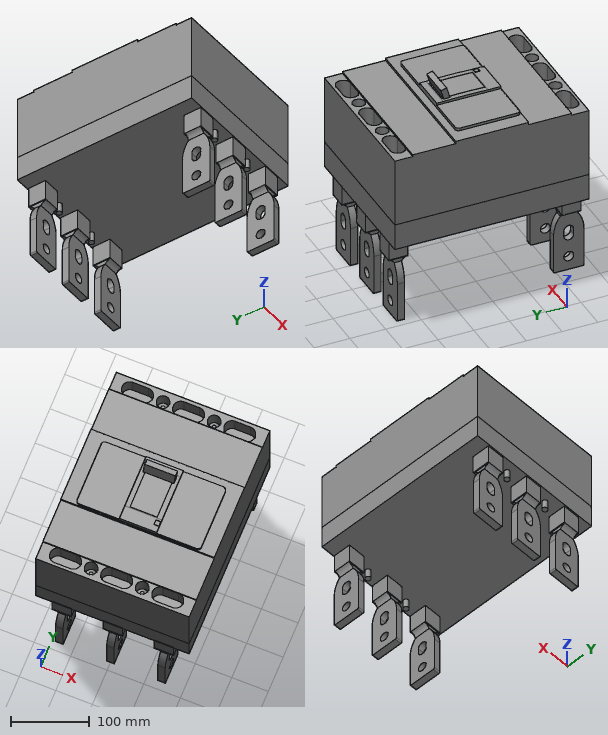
import cadquery as cq
import math


CASE_WIDTH = 210.0
CASE_FRONT = -135.5
CASE_BACK = 136.3
BASE_BOTTOM = 121.2
COVER_BOTTOM = 158.5
SHOULDER_TOP = 255.8
DECK_TOP = 258.5
DECK_HALF = 111.2
STAGE_TOP = 261.8
STAGE_HALF = 51.0

POLE_PITCH = 70.0
POLE_X = [-POLE_PITCH, 0, POLE_PITCH]
ROW_Y = 121.2
SCREW_POINTS = [(x, y) for x in (-POLE_PITCH / 2, POLE_PITCH / 2) for y in (-ROW_Y, ROW_Y)]

POCKET_LENGTH = 42.0
POCKET_WIDTH = 20.5
POCKET_DEPTH = 28.5
SCREW_HEAD_R = 8.5
SCREW_TIP_R = 2.5
SHANK_R = 4.0
SHANK_BOTTOM = 107.0
SCREW_SEAT = SHOULDER_TOP - POCKET_DEPTH

PANEL_WIDTH = 170.0
PANEL_FRONT = -49.5
PANEL_BACK = 40.5
PANEL_TOP = 265.8
PANEL_CORNER_R = 4.8
STRIP_WIDTH = 51.0
STRIP_TOP = 269.0

GUARD_HALF = 31.5
GUARD_RISE = 0.5
SLIDE_WIDTH = 37.0
SLIDE_HALF = 30.2
SLIDE_LIFT = 0.3

RECESS_SIDE = 6.5
RECESS_X = 21.7
RECESS_Y = -37.5
RECESS_DEPTH = 0.9

LEVER_WIDTH = 42.2
LEVER_THICKNESS = 8.3
LEVER_TOP = 285.2
LEVER_TOP_Y = 24.5
LEVER_LEAN = math.radians(17)

BLOCK_SIDE = 26.5
BLOCK_BOTTOM = 90.5
NECK_BOTTOM = 84.5
NECK_WIDTH = 24.0
NECK_BEND = 0.6
BLADE_WIDTH = 42.5
BLADE_THICKNESS = 10.3
BLADE_SHOULDER = 57.3
BLADE_CORNER = 2.0
BLADE_HOLE_D = 13.7
HOLE_Z = 20.0
SLOT_Z = 56.0
SLOT_LENGTH = 21.7


def box(width, front, back, bottom, top):
    """Box centred on X = 0."""
    block = cq.Workplane("XY").box(width, back - front, top - bottom, centered=(True, False, False))
    return block.translate((0, front, bottom))


def mirrored_bar(half_outline, width):
    """Bar along X whose YZ section is the closed half outline mirrored about Z."""
    half = half_outline.lineTo(0, BASE_BOTTOM).lineTo(0, 0).close().extrude(width / 2, both=True)
    return half.union(half.mirror("XZ"))


def terminal():
    """One terminal on the Z axis, its blade in the YZ plane: two crossed outlines intersected."""
    block_half = BLOCK_SIDE / 2

    broad_side = mirrored_bar(
        cq.Workplane("YZ")
        .lineTo(BLADE_WIDTH / 2, 0)
        .lineTo(BLADE_WIDTH / 2, BLADE_SHOULDER)
        .tangentArcPoint((NECK_WIDTH / 2, NECK_BOTTOM), relative=False)
        .lineTo(NECK_WIDTH / 2, BLOCK_BOTTOM)
        .lineTo(block_half, BLOCK_BOTTOM)
        .lineTo(block_half, BASE_BOTTOM),
        BLOCK_SIDE,
    )
    broad_side = broad_side.edges("|X and <Z").fillet(BLADE_CORNER)

    blade_half = BLADE_THICKNESS / 2
    waist_bend = (
        block_half - NECK_BEND * (block_half - blade_half),
        BLOCK_BOTTOM - (1 - NECK_BEND) * (BLOCK_BOTTOM - NECK_BOTTOM),
    )
    thin_side = mirrored_bar(
        cq.Workplane("YZ")
        .lineTo(blade_half, 0)
        .lineTo(blade_half, NECK_BOTTOM)
        .threePointArc(waist_bend, (block_half, BLOCK_BOTTOM))
        .lineTo(block_half, BASE_BOTTOM),
        BLADE_WIDTH,
    ).rotate((0, 0, 0), (0, 0, 1), 90)

    holes = (
        cq.Workplane("YZ")
        .center(0, HOLE_Z)
        .circle(BLADE_HOLE_D / 2)
        .center(0, SLOT_Z - HOLE_Z)
        .slot2D(SLOT_LENGTH, BLADE_HOLE_D, 90)
        .extrude(BLADE_THICKNESS, both=True)
    )
    return broad_side.intersect(thin_side).cut(holes)


def make_base():
    """Lower case half with the six terminals; the rear blades are turned across."""
    base = box(CASE_WIDTH, CASE_FRONT, CASE_BACK, BASE_BOTTOM, COVER_BOTTOM)
    front_terminal = terminal()
    rear_terminal = front_terminal.rotate((0, 0, 0), (0, 0, 1), 90)
    for x in POLE_X:
        base = base.union(front_terminal.translate((x, -ROW_Y, 0)))
        base = base.union(rear_terminal.translate((x, ROW_Y, 0)))
    screw_holes = (
        cq.Workplane("XY", origin=(0, 0, BASE_BOTTOM))
        .pushPoints(SCREW_POINTS)
        .circle(SHANK_R)
        .extrude(COVER_BOTTOM - BASE_BOTTOM)
    )
    return base.cut(screw_holes)


def crowned_pad(width, half_length, lift):
    """Pad on the strip, its crowned top concentric with the guard and lifted above it."""
    radius = (GUARD_HALF**2 + GUARD_RISE**2) / (2 * GUARD_RISE) + lift
    centre_z = STRIP_TOP + GUARD_RISE + lift - radius
    end_z = centre_z + math.sqrt(radius**2 - half_length**2)
    return (
        cq.Workplane("YZ")
        .moveTo(-half_length, PANEL_TOP)
        .lineTo(-half_length, end_z)
        .threePointArc((0, centre_z + radius), (half_length, end_z))
        .lineTo(half_length, PANEL_TOP)
        .close()
        .extrude(width / 2, both=True)
    )


def lever():
    """Leaning toggle lever, rooted in the strip."""
    lean_slope = math.tan(LEVER_LEAN)
    rear_y = LEVER_TOP_Y + LEVER_THICKNESS * math.cos(LEVER_LEAN)
    rear_z = LEVER_TOP - LEVER_THICKNESS * math.sin(LEVER_LEAN)
    return (
        cq.Workplane("YZ")
        .moveTo(LEVER_TOP_Y, LEVER_TOP)
        .lineTo(rear_y, rear_z)
        .lineTo(rear_y - (rear_z - PANEL_TOP) * lean_slope, PANEL_TOP)
        .lineTo(LEVER_TOP_Y - (LEVER_TOP - PANEL_TOP) * lean_slope, PANEL_TOP)
        .close()
        .extrude(LEVER_WIDTH / 2, both=True)
    )


def make_cover():
    """Upper case half: stepped top, panel, toggle, access pockets and screw holes."""
    shoulders = box(CASE_WIDTH, CASE_FRONT, CASE_BACK, COVER_BOTTOM, SHOULDER_TOP)
    pockets = (
        cq.Workplane("XY", origin=(0, 0, SHOULDER_TOP))
        .pushPoints([(x, y) for x in POLE_X for y in (-ROW_Y, ROW_Y)])
        .slot2D(POCKET_LENGTH, POCKET_WIDTH)
        .extrude(-POCKET_DEPTH)
    )
    head_holes = (
        cq.Workplane("XY", origin=(0, 0, SCREW_SEAT))
        .pushPoints(SCREW_POINTS)
        .circle(SCREW_HEAD_R)
        .extrude(SHOULDER_TOP - SCREW_SEAT)
    )
    shank_holes = (
        cq.Workplane("XY", origin=(0, 0, COVER_BOTTOM))
        .pushPoints(SCREW_POINTS)
        .circle(SHANK_R)
        .extrude(SCREW_SEAT - COVER_BOTTOM)
    )
    deck = box(CASE_WIDTH, -DECK_HALF, DECK_HALF, SHOULDER_TOP, DECK_TOP)
    stage = box(CASE_WIDTH, -STAGE_HALF, STAGE_HALF, DECK_TOP, STAGE_TOP)
    panel = box(PANEL_WIDTH, PANEL_FRONT, PANEL_BACK, STAGE_TOP, PANEL_TOP).edges("|Z").fillet(PANEL_CORNER_R)
    strip = box(STRIP_WIDTH, PANEL_FRONT, PANEL_BACK, PANEL_TOP, STRIP_TOP)
    recess_floor = STRIP_TOP - RECESS_DEPTH
    recess_front = RECESS_Y - RECESS_SIDE / 2
    recess = box(RECESS_SIDE, recess_front, recess_front + RECESS_SIDE, recess_floor, STRIP_TOP)
    recess = recess.translate((RECESS_X, 0, 0))

    cover = shoulders.cut(pockets).cut(head_holes).cut(shank_holes)
    cover = cover.union(deck).union(stage).union(panel).union(strip.cut(recess))
    cover = cover.union(crowned_pad(STRIP_WIDTH, GUARD_HALF, 0))
    cover = cover.union(crowned_pad(SLIDE_WIDTH, SLIDE_HALF, SLIDE_LIFT))
    return cover.union(lever())


def make_screw(x, y):
    """Dome-headed screw with a small flat on the dome; its shank ends below the base."""
    dome_top = SCREW_SEAT + math.sqrt(SCREW_HEAD_R**2 - SCREW_TIP_R**2)
    dome_mid = (SCREW_HEAD_R * math.cos(math.pi / 4), SCREW_SEAT + SCREW_HEAD_R * math.sin(math.pi / 4))
    return (
        cq.Workplane("YZ")
        .moveTo(0, SHANK_BOTTOM)
        .lineTo(SHANK_R, SHANK_BOTTOM)
        .lineTo(SHANK_R, SCREW_SEAT)
        .lineTo(SCREW_HEAD_R, SCREW_SEAT)
        .threePointArc(dome_mid, (SCREW_TIP_R, dome_top))
        .lineTo(0, dome_top)
        .close()
        .revolve(360, (0, 0, 0), (0, 1, 0))
        .translate((x, y, 0))
    )


base = make_base()
cover = make_cover()
screws = [make_screw(x, y) for x, y in SCREW_POINTS]

result = cq.Compound.makeCompound([base.val(), cover.val(), *[screw.val() for screw in screws]])